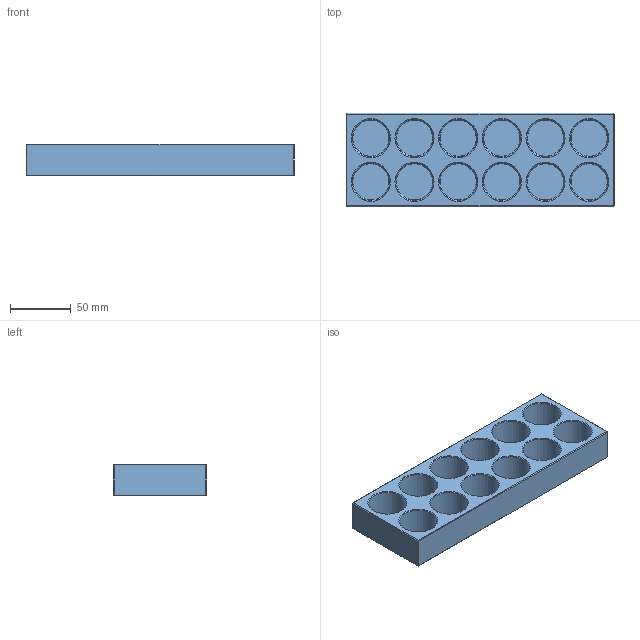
import cadquery as cq

COLUMNS = 6
ROWS = 2
POCKET_DIAMETER = 31.0
WALL = 5.0
PITCH = POCKET_DIAMETER + WALL

LENGTH = COLUMNS * PITCH + WALL
WIDTH = ROWS * PITCH + WALL
HEIGHT = 26.0
FLOOR = 2.0

CHAMFER = 0.6


def make_block():
    """Rectangular block standing on Z = 0, with every outer edge chamfered."""
    block = cq.Workplane("XY").box(LENGTH, WIDTH, HEIGHT, centered=(True, True, False))
    return block.edges().chamfer(CHAMFER)


def make_pocket_cutter():
    """Straight bore, narrowed by a chamfer at the floor and flared by one at the mouth."""
    radius = POCKET_DIAMETER / 2
    half_profile = [
        (0, FLOOR),
        (radius - CHAMFER, FLOOR),
        (radius, FLOOR + CHAMFER),
        (radius, HEIGHT - CHAMFER),
        (radius + CHAMFER, HEIGHT),
        (0, HEIGHT),
    ]
    outline = cq.Workplane("XZ").polyline(half_profile).close()
    return outline.revolve(360, (0, 0), (0, 1)).val()


def make_pocket_grid():
    """Pocket cutters placed on a grid centred on the block."""
    cutter = make_pocket_cutter()
    centres = cq.Workplane("XY").rarray(PITCH, PITCH, COLUMNS, ROWS)
    return centres.eachpoint(lambda place: cutter.moved(place))


result = make_block().cut(make_pocket_grid())